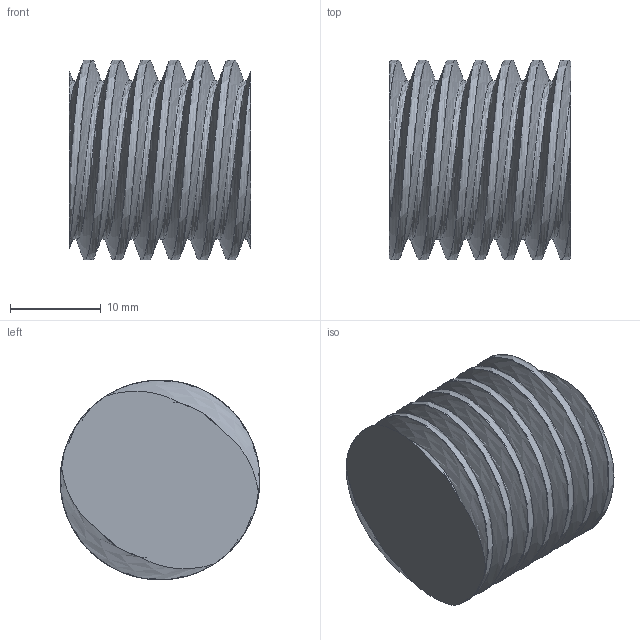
import cadquery as cq
import math

module = 1.0
pitch_radius = 10.0
starts = 2
length = 20.0
pressure_angle = math.radians(20.0)
dedendum_factor = 1.25

axial_pitch = math.pi * module
lead = starts * axial_pitch
tip_radius = pitch_radius + module
root_radius = pitch_radius - dedendum_factor * module
start_spacing = 2.0 * math.pi / starts
length_turns = length / lead

end_crest_angle = math.pi * length_turns

FLANK_POINTS = 9


def half_thread_angle(radius):
    """Angle from the thread's middle to its flank at a radius, in a section across the axis."""
    half_width = axial_pitch / 4.0 - (radius - pitch_radius) * math.tan(pressure_angle)
    return 2.0 * math.pi * half_width / lead


def polar(radius, angle):
    return (radius * math.cos(angle), radius * math.sin(angle))


def flank_points(crest_angle, side):
    """Spiral flank from root to tip; side is -1 before the crest and +1 after it."""
    step = (tip_radius - root_radius) / (FLANK_POINTS - 1)
    radii = [root_radius + i * step for i in range(FLANK_POINTS)]
    return [polar(r, crest_angle + side * half_thread_angle(r)) for r in radii]


def worm_section():
    """Closed outline across the axis: crest arcs and root arcs joined by spiral flanks."""
    first_angle = end_crest_angle - half_thread_angle(root_radius)
    outline = cq.Workplane("YZ", origin=(-length / 2.0, 0, 0)).moveTo(*polar(root_radius, first_angle))
    for start in range(starts):
        crest_angle = end_crest_angle + start * start_spacing
        rising = flank_points(crest_angle, -1)
        falling = flank_points(crest_angle, 1)[::-1]
        root_middle = polar(root_radius, crest_angle + start_spacing / 2.0)
        next_root = flank_points(crest_angle + start_spacing, -1)[0]
        outline = outline.spline(rising[1:], includeCurrent=True)
        outline = outline.threePointArc(polar(tip_radius, crest_angle), falling[0])
        outline = outline.spline(falling[1:], includeCurrent=True)
        outline = outline.threePointArc(root_middle, next_root)
    return outline.close()


result = worm_section().twistExtrude(length, -360.0 * length_turns)